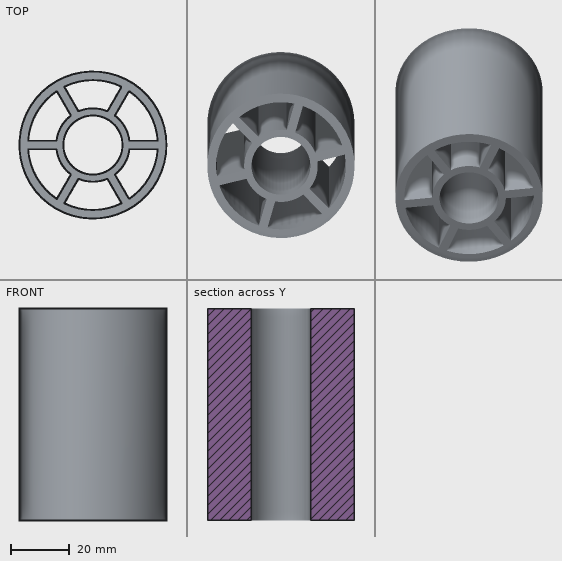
import cadquery as cq

height = 72.0
outer_diameter = 50.0
rim_wall = 3.0
bore_diameter = 20.0
hub_wall = 2.5
spoke_count = 6
spoke_thickness = 3.0

rim_inner_radius = outer_diameter / 2 - rim_wall
bore_radius = bore_diameter / 2
hub_radius = bore_radius + hub_wall

spoke_start = bore_radius + hub_wall / 2
spoke_end = rim_inner_radius + rim_wall / 2


def tube(outer_radius, inner_radius):
    """Full-height tube around the Z axis, standing on the XY plane."""
    return cq.Workplane("XY").circle(outer_radius).circle(inner_radius).extrude(height)


def spoke(angle):
    """Full-height radial web joining hub and rim at the given angle from +X."""
    return (
        cq.Workplane("XY")
        .center((spoke_start + spoke_end) / 2, 0)
        .rect(spoke_end - spoke_start, spoke_thickness)
        .extrude(height)
        .rotate((0, 0, 0), (0, 0, 1), angle)
    )


rim = tube(outer_diameter / 2, rim_inner_radius)
hub = tube(hub_radius, bore_radius)

result = rim.union(hub)
for index in range(spoke_count):
    result = result.union(spoke(index * 360 / spoke_count))